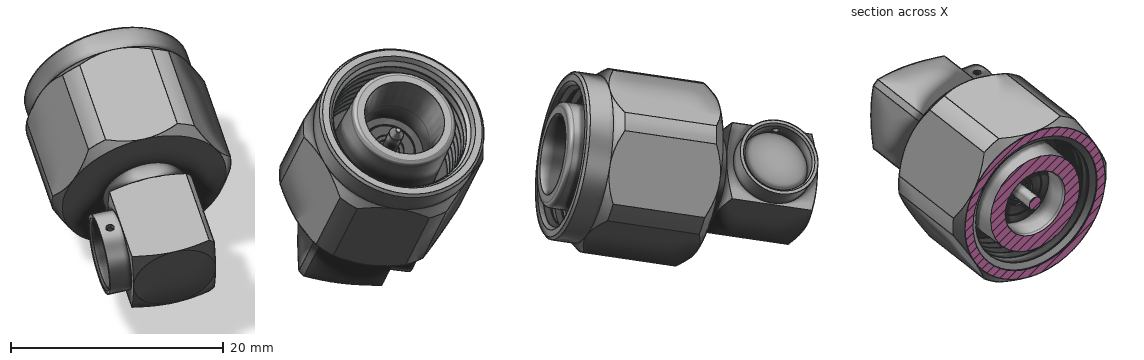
import cadquery as cq
import math


nut_across_flats = 16.0
nut_across_corners = 17.48
collar_front = 0.82
collar_chamfer = 0.25
hex_front = 3.35
hex_back = 14.25
corner_chamfer_length = 0.9

bore_mouth_radius = 7.1
bore_lip_radius = 6.77
mouth_chamfer_length = 0.37
thread_crest_radius = 6.47
thread_root_radius = 7.05
thread_pitch = 1.05
thread_ridges = 8
crest_flat = 0.12
first_crest = 1.7
flank_half_angle = math.radians(30)

ferrule_tip_radius = 5.03
ferrule_base_radius = 5.28
ferrule_tip_round = 0.45
socket_mouth_radius = 3.88
socket_radius = 3.34
socket_taper_length = 3.64
socket_depth = 5.98

ring_groove_outer_radius = 2.6
ring_groove_inner_radius = 2.47
step_depth = 0.25
insulator_step_radii = (1.5, 1.12)
pin_radius = 0.7
pin_tip_radius = 0.25
pin_tip = 2.37
pin_taper_length = 0.75

body_width = 8.02
body_front = 15.9
body_back = 24.9
body_end_chamfer = 0.55
body_edge_chamfer = 0.5

cable_x = 20.42
cable_radius = 3.85
cable_bore_radius = 3.34
cable_mouth_radius = 3.54
cable_end = -6.1
cable_bore_depth = 1.7
vent_y = -5.05
vent_radius = 0.37

nut_radius = nut_across_flats / 2
corner_radius = nut_across_corners / 2
body_half = body_width / 2
cable_mouth_chamfer = cable_mouth_radius - cable_bore_radius
flank_slope = math.tan(flank_half_angle)
flank_length = (thread_root_radius - thread_crest_radius) * flank_slope
bore_floor = first_crest + thread_ridges * thread_pitch


def turned(points):
    """Solid of revolution about X from (x, radius) points; both ends lie on the axis."""
    return cq.Workplane("XY").polyline(points).close().revolve(360, (0, 0, 0), (1, 0, 0))


def cylinder_x(radius, start, end):
    return cq.Workplane("YZ").workplane(offset=start).circle(radius).extrude(end - start)


def make_nut():
    """Hexagon with turned corners behind a round collar, bored from the front."""
    collar = cylinder_x(nut_radius, collar_front, hex_front).faces("<X").chamfer(collar_chamfer)
    corner_to_corner = nut_across_flats / math.cos(math.pi / 6)
    hexagon = (
        cq.Workplane("YZ")
        .workplane(offset=hex_front)
        .polygon(6, corner_to_corner)
        .extrude(hex_back - hex_front)
    )
    envelope = turned([
        (hex_front, 0),
        (hex_front, nut_radius),
        (hex_front + corner_chamfer_length, corner_radius),
        (hex_back - corner_chamfer_length, corner_radius),
        (hex_back, nut_radius),
        (hex_back, 0),
    ])
    return collar.union(hexagon.intersect(envelope)).cut(make_threaded_bore())


def make_threaded_bore():
    """Chamfered mouth followed by 60 degree thread ridges, modelled as closed rings."""
    lip = collar_front + mouth_chamfer_length
    lip_flank_length = (thread_root_radius - bore_lip_radius) * flank_slope
    points = [
        (collar_front, 0),
        (collar_front, bore_mouth_radius),
        (lip, bore_lip_radius),
        (lip + lip_flank_length, thread_root_radius),
    ]
    for ridge in range(thread_ridges):
        crest_start = first_crest + ridge * thread_pitch
        crest_end = crest_start + crest_flat
        points += [
            (crest_start - flank_length, thread_root_radius),
            (crest_start, thread_crest_radius),
            (crest_end, thread_crest_radius),
            (crest_end + flank_length, thread_root_radius),
        ]
    points += [(bore_floor, thread_root_radius), (bore_floor, 0)]
    return turned(points)


def make_ferrule():
    """Slightly tapered tube blank with a rounded tip, reaching back to the bore floor."""
    outer = turned([
        (0, 0),
        (0, ferrule_tip_radius),
        (bore_floor, ferrule_base_radius),
        (bore_floor, 0),
    ])
    return outer.faces("<X").edges().fillet(ferrule_tip_round)


def make_socket():
    """Space inside the ferrule, with the insulator steps in its floor and the pin left out."""
    socket = turned([
        (0, 0),
        (0, socket_mouth_radius),
        (socket_taper_length, socket_radius),
        (socket_depth, socket_radius),
        (socket_depth, 0),
    ])
    ring_groove = cylinder_x(ring_groove_outer_radius, socket_depth, socket_depth + step_depth)
    ring_groove = ring_groove.cut(
        cylinder_x(ring_groove_inner_radius, socket_depth, socket_depth + step_depth)
    )
    socket = socket.union(ring_groove)
    floor = socket_depth
    for radius in insulator_step_radii:
        socket = socket.union(cylinder_x(radius, floor, floor + step_depth))
        floor += step_depth
    pin = turned([
        (pin_tip, 0),
        (pin_tip, pin_tip_radius),
        (pin_tip + pin_taper_length, pin_radius),
        (floor, pin_radius),
        (floor, 0),
    ])
    return socket.cut(pin)


def make_body():
    """Square body with turned-down ends and two chamfered edges away from the cable."""
    length = body_back - body_front
    block = (
        cq.Workplane("YZ")
        .workplane(offset=body_front)
        .rect(body_width, body_width)
        .extrude(length)
        .edges("|X and >Y")
        .chamfer(body_edge_chamfer)
    )
    square_corner_radius = body_half * math.sqrt(2)
    envelope = turned([
        (body_front, 0),
        (body_front, body_half),
        (body_front + body_end_chamfer, square_corner_radius),
        (body_back - body_end_chamfer, square_corner_radius),
        (body_back, body_half),
        (body_back, 0),
    ])
    neck = cylinder_x(body_half, bore_floor, body_front)
    return block.intersect(envelope).union(neck)


def make_cable_ferrule():
    """Short cup toward -Y with a chamfered mouth and a vent hole through its top wall."""
    length = -body_half - cable_end
    base = cq.Workplane("XZ", origin=(cable_x, -body_half, 0))
    ferrule = base.circle(cable_radius).extrude(length)
    ferrule = ferrule.faces("<Y").workplane().circle(cable_bore_radius).cutBlind(-cable_bore_depth)
    mouth_edge = cq.selectors.RadiusNthSelector(0)
    ferrule = ferrule.faces("<Y").edges(mouth_edge).chamfer(cable_mouth_chamfer)
    vent = cq.Workplane("XY", origin=(cable_x, vent_y, 0)).circle(vent_radius).extrude(cable_radius)
    return ferrule.cut(vent)


result = (
    make_nut()
    .union(make_body())
    .union(make_ferrule())
    .cut(make_socket())
    .union(make_cable_ferrule())
)